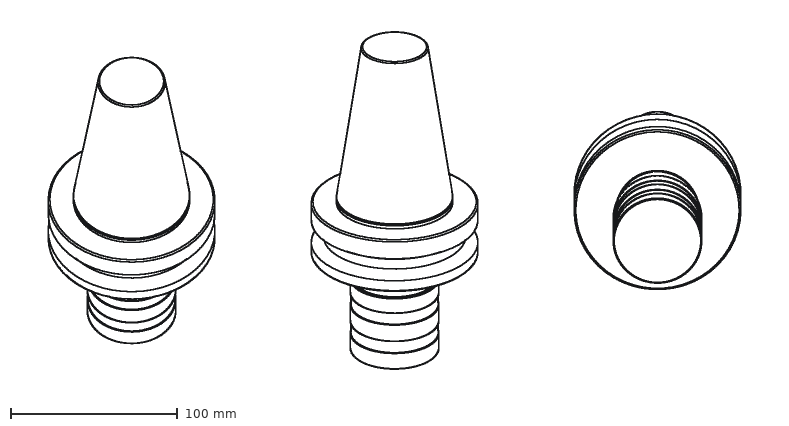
import cadquery as cq
import math

total_length = 204.3
flange_diameter = 100.0
flange_radius = flange_diameter / 2
gauge_radius = 35.0
small_end_radius = 20.0
neck_radius = 25.1
ring_radius = 26.5
ring_gap_radius = 26.2

gauge_height = 102.5
flange_top = 99.5
flange_bottom = 64.5
neck_relief_bottom = 62.0

flange_chamfer = 1.0
ring_chamfer = 0.6
tip_chamfer = 0.8
relief_depth = 0.5

collar_top = 101.5

groove_radius = 42.7
groove_floor_bottom = 76.5
groove_floor_top = 83.0
groove_wall_angle = 30.0

rings = [(0.0, 11.5), (19.0, 30.6), (38.0, 48.5)]


def revolve_profile(points):
    """Turn an outline of (radius, height) points about the Z axis."""
    return cq.Workplane("XZ").polyline(points).close().revolve(360, (0, 0, 0), (0, 1, 0))


def cylinder(radius, bottom, top):
    return cq.Workplane("XY").workplane(offset=bottom).circle(radius).extrude(top - bottom)


def make_taper():
    """Conical shank with a broken edge at its small end."""
    cone = revolve_profile([
        (0, gauge_height),
        (gauge_radius, gauge_height),
        (small_end_radius, total_length),
        (0, total_length),
    ])
    return cone.faces(">Z").chamfer(tip_chamfer)


def make_collar():
    """Collar on the flange and the reduced section that joins it to the taper."""
    collar = cylinder(gauge_radius, flange_top, collar_top)
    relief = cylinder(gauge_radius - relief_depth, collar_top, gauge_height)
    return collar.union(relief)


def make_flange():
    """Chamfered disc with a V-shaped gripper groove."""
    wall_height = (flange_radius - groove_radius) * math.tan(math.radians(groove_wall_angle))
    disc = cylinder(flange_radius, flange_bottom, flange_top).edges().chamfer(flange_chamfer)
    groove = revolve_profile([
        (groove_radius, groove_floor_bottom),
        (flange_radius, groove_floor_bottom - wall_height),
        (flange_radius, groove_floor_top + wall_height),
        (groove_radius, groove_floor_top),
    ])
    return disc.cut(groove)


def make_shank():
    """Neck below the flange and the ringed lower end."""
    neck = cylinder(neck_radius, 0, neck_relief_bottom)
    neck_relief = cylinder(neck_radius - relief_depth, neck_relief_bottom, flange_bottom)
    lowest_ring_top = rings[0][1]
    highest_ring_bottom = rings[-1][0]
    gap_core = cylinder(ring_gap_radius, lowest_ring_top - ring_chamfer, highest_ring_bottom)
    shank = neck.union(neck_relief).union(gap_core)
    for bottom, top in rings:
        ring = cylinder(ring_radius, bottom, top).faces(">Z").chamfer(ring_chamfer)
        if bottom == 0:
            ring = ring.faces("<Z").chamfer(ring_chamfer)
        shank = shank.union(ring)
    return shank


result = make_taper().union(make_collar()).union(make_flange()).union(make_shank())